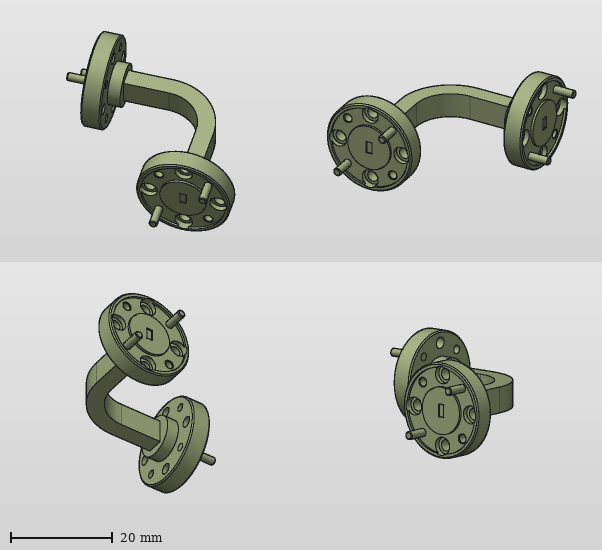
import cadquery as cq
import math

overall_size = 38.8
flange_diameter = 19.05
flange_radius = flange_diameter / 2
flange_thickness = 4.07
flange_chamfer = 0.27
pin_projection = 3.88
mating_face = overall_size - flange_radius - pin_projection
flange_back = mating_face - flange_thickness

groove_outer_diameter = 17.3
boss_diameter = 9.5
groove_depth = 0.5

recess_width = 1.28
recess_height = 2.52
recess_depth = 0.3

hub_diameter = 8.85
hub_length = 2.55
hub_back = flange_back - hub_length

tube_width = 3.57
tube_height = 5.2
bend_radius = 9.5

bolt_circle_radius = 7.15
screw_hole_diameter = 2.3
counterbore_diameter = 3.57
counterbore_depth = 1.55
guide_hole_diameter = 1.65
guide_hole_chamfer = 0.15
chamfer_angle = 45
screw_angles = (0, 90, 180, 270)
pin_angles = (45, 225)
guide_angles = (135, 315)

pin_diameter = 1.63
pin_chamfer = 0.2

flange_turns = (0, -90)


def axial_workplane(distance, angle=None):
    """Workplane facing -Y at a distance from the origin, on the flange axis or on the bolt circle."""
    x = 0
    z = 0
    if angle is not None:
        x = bolt_circle_radius * math.cos(math.radians(angle))
        z = bolt_circle_radius * math.sin(math.radians(angle))
    return cq.Workplane("XZ", origin=(x, -distance, z))


def axial_cylinder(diameter, start, end, angle=None):
    """Cylinder along -Y from one distance to another, on the axis or on the bolt circle."""
    return axial_workplane(start, angle).circle(diameter / 2).extrude(end - start)


def turned(shape, turn):
    """Shape turned about Z through the origin."""
    return shape.rotate((0, 0, 0), (0, 0, 1), turn)


def guide_hole_mouth(angle, face):
    """Cone that chamfers the mouth of a guide hole at the given face."""
    mouth_diameter = guide_hole_diameter + 2 * guide_hole_chamfer
    mouth = axial_workplane(face, angle).circle(mouth_diameter / 2)
    return mouth.extrude(-guide_hole_chamfer, taper=chamfer_angle)


def make_flange():
    """Flange and hub facing -Y."""
    groove_floor = mating_face - groove_depth
    flange = axial_cylinder(flange_diameter, flange_back, mating_face).edges().chamfer(flange_chamfer)
    flange = flange.union(axial_cylinder(hub_diameter, hub_back, flange_back))

    groove = axial_cylinder(groove_outer_diameter, groove_floor, mating_face)
    groove = groove.cut(axial_cylinder(boss_diameter, groove_floor, mating_face))
    flange = flange.cut(groove)

    recess = axial_workplane(mating_face - recess_depth).rect(recess_width, recess_height)
    flange = flange.cut(recess.extrude(recess_depth))

    counterbore_floor = mating_face - counterbore_depth
    for angle in screw_angles:
        flange = flange.cut(axial_cylinder(screw_hole_diameter, flange_back, mating_face, angle))
        flange = flange.cut(axial_cylinder(counterbore_diameter, counterbore_floor, mating_face, angle))

    for angle in guide_angles:
        flange = flange.cut(axial_cylinder(guide_hole_diameter, flange_back, mating_face, angle))
        flange = flange.cut(guide_hole_mouth(angle, groove_floor))

    for angle in pin_angles:
        flange = flange.cut(axial_cylinder(pin_diameter, flange_back, mating_face, angle))
    return flange


def make_tube():
    """Rectangular tube that bends from one hub to the other."""
    path = (
        cq.Workplane("XY")
        .moveTo(0, -hub_back)
        .lineTo(0, -bend_radius)
        .tangentArcPoint((-bend_radius, 0), relative=False)
        .lineTo(-hub_back, 0)
    )
    section = axial_workplane(hub_back).rect(tube_width, tube_height)
    return section.sweep(path)


def make_waveguide():
    """Tube with a flange on each end."""
    waveguide = make_tube()
    for turn in flange_turns:
        waveguide = waveguide.union(turned(make_flange(), turn))
    return waveguide


def make_pin(angle, turn):
    """Guide pin that fills its flange hole and stands out of the mating face."""
    pin = axial_cylinder(pin_diameter, flange_back, mating_face + pin_projection, angle)
    return turned(pin.faces("<Y").chamfer(pin_chamfer), turn)


waveguide = make_waveguide()
pins = [make_pin(angle, turn) for turn in flange_turns for angle in pin_angles]

result = cq.Compound.makeCompound([waveguide.val(), *[pin.val() for pin in pins]])